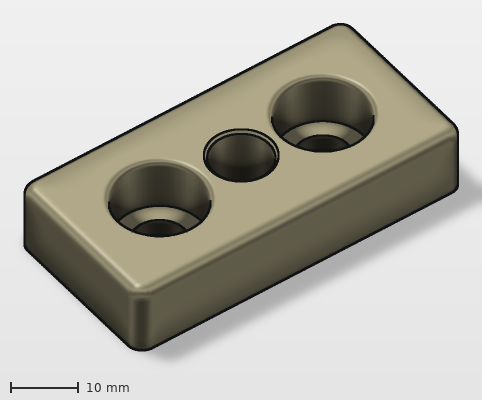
import cadquery as cq

width = 30.0
length = 60.0
height = 12.0
corner_radius = 2.5
top_edge_radius = 2.0

screw_spacing = length / 2
screw_hole_diameter = 9.0
counterbore_diameter = 15.0
counterbore_depth = 9.0
counterbore_rim_radius = 1.0

center_hole_diameter = 10.1
center_hole_chamfer = 0.5


def rounded_block():
    """Block standing on Z = 0 with rounded upright corners and a rounded top edge."""
    block = cq.Workplane("XY").box(width, length, height, centered=(True, True, False))
    block = block.edges("|Z").fillet(corner_radius)
    return block.faces(">Z").edges().fillet(top_edge_radius)


def hole_cutter(diameter, depth, y=0.0):
    """Cylinder reaching down from the top face."""
    return cq.Workplane("XY", origin=(0, y, height)).circle(diameter / 2).extrude(-depth)


def hole_mouth(part, y):
    """Circular edge on the top face around the hole centred at y."""
    return part.edges(cq.selectors.NearestToPointSelector((0, y, height)))


def add_center_hole(part):
    """Through hole with a chamfered mouth."""
    part = part.cut(hole_cutter(center_hole_diameter, height))
    return hole_mouth(part, 0).chamfer(center_hole_chamfer)


def add_screw_hole(part, y):
    """Counterbored through hole with a rounded mouth."""
    part = part.cut(hole_cutter(screw_hole_diameter, height, y))
    part = part.cut(hole_cutter(counterbore_diameter, counterbore_depth, y))
    return hole_mouth(part, y).fillet(counterbore_rim_radius)


result = add_center_hole(rounded_block())
for side in (-1, 1):
    result = add_screw_hole(result, side * screw_spacing / 2)